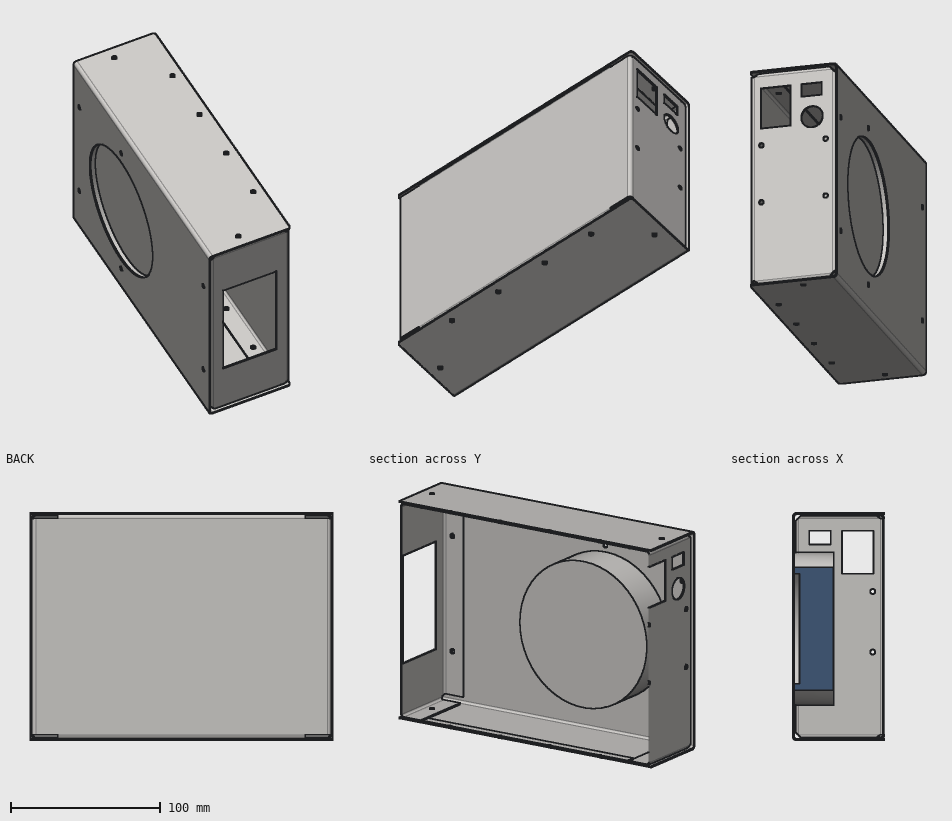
import cadquery as cq
length = 202.0
depth = 61.0
height = 152.0
half_height = height / 2
sheet = 1.0

bend_radius = 2.6
cover_corner_radius = 2.0

end_setback = 1.0
chassis_start = end_setback
chassis_end = length - end_setback

side_flange_hole_inset = 8.7
back_flange_hole_inset = 7.5
side_flange = 2 * side_flange_hole_inset
back_flange = 2 * back_flange_hole_inset
flange_gap = 1.0
back_relief = 2.6
back_relief_mitre = 6.5
front_relief = 5.3

screw_hole = 3.2
front_hole_z = 40.2
top_middle_hole_from_back = 34.7
back_hole_pitch = 40.0
back_hole_count = 4
side_hole = 3.2
side_hole_pitch_z = 40.5
side_hole_centre_z = 3.2
side_hole_from_back = (7.7, 52.5)

opening_top = 63.8
socket_from_back = 7.3
socket_width = 20.8
socket_height = 28.5
port_from_back = 35.8
port_width = 14.1
port_height = 8.9
round_hole = 15.0
round_hole_from_back = 43.0
round_hole_z = 40.0

end_window_width = 40.0
end_window_height = 75.1

front_hole = 94.1
dish_outer = 102.0
dish_inner = 94.5
dish_x = 71.1
dish_z = -1.5
dish_depth = 26.3
dish_recess = 3.5
dish_screw_offset = 55.5


def block(x_range, y_range, z_range):
    """Box given by its limits along each axis."""
    (x0, x1), (y0, y1), (z0, z1) = x_range, y_range, z_range
    return cq.Workplane("XY").box(x1 - x0, y1 - y0, z1 - z0, centered=False).translate((x0, y0, z0))


def rod_x(diameter, x_range, y, z):
    """Cylinder along X."""
    x0, x1 = x_range
    return cq.Workplane("YZ", origin=(x0, y, z)).circle(diameter / 2).extrude(x1 - x0)


def rod_y(diameter, y_range, x, z):
    """Cylinder along Y."""
    y0, y1 = y_range
    return cq.Workplane("XZ", origin=(x, y0, z)).circle(diameter / 2).extrude(y0 - y1)


def rod_z(diameter, x, y):
    """Cylinder along Z through the full height."""
    return cq.Workplane("XY", origin=(x, y, -half_height)).circle(diameter / 2).extrude(height)


def end_inset_pair(inset):
    """The two X places at the same inset from either end."""
    return (inset, length - inset)


def flange_screw_holes():
    """Holes shared by the cover and the chassis flanges behind it."""
    holes = cq.Workplane("XY")
    for x in end_inset_pair(side_flange_hole_inset):
        holes = holes.add(rod_z(screw_hole, x, depth - top_middle_hole_from_back))
        for z in (-front_hole_z, front_hole_z):
            holes = holes.add(rod_y(screw_hole, (0, 2 * sheet), x, z))
    first_x = length / 2 - back_hole_pitch * (back_hole_count - 1) / 2
    for i in range(back_hole_count):
        holes = holes.add(rod_z(screw_hole, first_x + i * back_hole_pitch, depth - back_flange_hole_inset))
    return holes.combine()


def make_cover():
    """U-shaped sheet: the front with its top and bottom bent back."""
    inner_half = half_height - sheet
    cover = block((0, length), (0, depth), (-half_height, half_height))
    cover = cover.edges("<Y and |X").fillet(bend_radius)
    cover = cover.edges(">Y and |Z").fillet(cover_corner_radius)
    cavity = block((0, length), (sheet, depth), (-inner_half, inner_half))
    cavity = cavity.edges("<Y and |X").fillet(bend_radius - sheet)
    cover = cover.cut(cavity).cut(rod_y(front_hole, (0, sheet), dish_x, dish_z))
    for offset in (-dish_screw_offset, dish_screw_offset):
        cover = cover.cut(rod_y(screw_hole, (0, sheet), dish_x, dish_z + offset))
    return cover.cut(flange_screw_holes())


def make_chassis_sheet():
    """Rounded tray, opened until only the back, the end panels and their flanges remain."""
    top = half_height - sheet
    tray = block((chassis_start, chassis_end), (sheet, depth), (-top, top)).edges().fillet(bend_radius)
    cavity = block(
        (chassis_start + sheet, chassis_end - sheet),
        (2 * sheet, depth - sheet),
        (sheet - top, top - sheet),
    )
    tray = tray.cut(cavity.edges().fillet(bend_radius - sheet))
    between_flanges = (side_flange, length - side_flange)
    return tray.cut(block(between_flanges, (0, depth - back_flange), (-top, top)))


def prism_x(points, x_range):
    """Prism along X with the given (Y, Z) corners."""
    x0, x1 = x_range
    return cq.Workplane("YZ", origin=(x0, 0, 0)).polyline(points).close().extrude(x1 - x0)


def cut_corner_reliefs(chassis):
    """Free the flanges from each other at the corners of both end panels."""
    top = half_height - sheet
    gap_end = side_flange + flange_gap
    corner_spans = ((0, gap_end), (length - gap_end, length))
    gap_spans = ((side_flange, gap_end), (length - gap_end, length - side_flange))
    for sign in (-1, 1):
        outer_z = sign * top
        front_corner = [
            (sheet, outer_z),
            (sheet + front_relief, outer_z),
            (sheet, sign * (top - front_relief)),
        ]
        chassis = chassis.cut(prism_x(front_corner, (0, length)))
        inner_z = sign * (top - back_relief)
        back_corner = [
            (depth, outer_z),
            (depth - back_relief_mitre, outer_z),
            (depth - back_relief, inner_z),
            (depth, inner_z),
        ]
        for span in corner_spans:
            chassis = chassis.cut(prism_x(back_corner, span))
        gap_z = (min(outer_z, inner_z), max(outer_z, inner_z))
        for span in gap_spans:
            chassis = chassis.cut(block(span, (depth - back_flange, depth), gap_z))
    return chassis


def cut_end_panel_openings(chassis):
    """Connector openings and holes at -X, one window at +X."""
    near_end = (chassis_start, chassis_start + sheet)
    far_end = (chassis_end - sheet, chassis_end)
    for from_back, width, tall in (
        (socket_from_back, socket_width, socket_height),
        (port_from_back, port_width, port_height),
    ):
        y_range = (depth - from_back - width, depth - from_back)
        chassis = chassis.cut(block(near_end, y_range, (opening_top - tall, opening_top)))
    chassis = chassis.cut(rod_x(round_hole, near_end, depth - round_hole_from_back, round_hole_z))
    for from_back in side_hole_from_back:
        for offset in (-side_hole_pitch_z / 2, side_hole_pitch_z / 2):
            chassis = chassis.cut(rod_x(side_hole, near_end, depth - from_back, side_hole_centre_z + offset))
    window_y = (depth + sheet) / 2
    window_y_range = (window_y - end_window_width / 2, window_y + end_window_width / 2)
    return chassis.cut(block(far_end, window_y_range, (-end_window_height / 2, end_window_height / 2)))


def make_chassis():
    """Back sheet with both end panels and all fastening flanges."""
    chassis = cut_end_panel_openings(cut_corner_reliefs(make_chassis_sheet()))
    return chassis.cut(flange_screw_holes())


def make_dish():
    """Round block against the inside of the front, recessed behind the front hole."""
    dish = rod_y(dish_outer, (sheet, sheet + dish_depth), dish_x, dish_z)
    return dish.cut(rod_y(dish_inner, (sheet, sheet + dish_recess), dish_x, dish_z))


cover = make_cover()
chassis = make_chassis()
dish = make_dish()

result = cq.Compound.makeCompound([part.solids().val() for part in (cover, chassis, dish)])